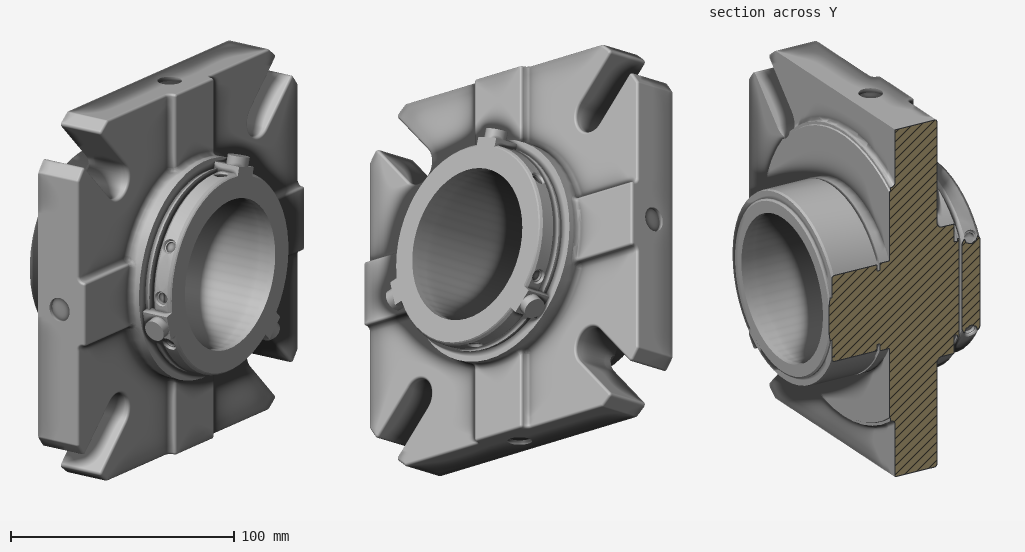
import cadquery as cq
import math


flange_side = 170.2
flange_thickness = 22.1
flange_corner_dia = 211.1
half_side = flange_side / 2
edge_round = 1.2
slot_width = 17.4
slot_center_radius = 77.1
corner_round = 1.4
side_hole_dia = 11.0
side_hole_depth = 2.0
side_hole_x = 11.7

pad_half_width = 15.0
pad_foot_round = 2.4
pad_height = pad_foot_round + edge_round
pad_top_x = flange_thickness + pad_height
pad_inner_radius = 42.5
outline_min_radius = 66.4

cap_height = 3.0
cap_face_radius = 136.5 / 2
cap_base_radius = 137.2 / 2
rim_height = 2.4
rim_radius = 69.8
rim_root_round = 1.9

bore_radius = 69.8 / 2
front_x = -34.7
nose_radius = 82.5 / 2
nose_face_radius = 80.9 / 2
nose_chamfer = 0.5
shoulder_x = -33.4
shoulder_face_radius = 89.5 / 2
shoulder_bevel_length = 1.2
front_sleeve_radius = 90.4 / 2
groove_start_x = -9.2
groove_end_x = -8.0
groove_radius = 87.5 / 2
inner_sleeve_radius = 90.7 / 2
boss_radius = 102.0 / 2
boss_end_x = 31.2
boss_root_round = 2.2
slinger_radius = 92.1 / 2
slinger_lip_radius = 93.5 / 2
slinger_lip_start_x = 32.9
slinger_end_x = 33.7
rear_sleeve_radius = 73.0 / 2

collar_start_x = 35.2
collar_end_x = 45.0
collar_radius = 92.6 / 2
collar_rim_radius = 91.3 / 2
collar_bevel_length = 0.5
collar_band_start_x = 36.8
collar_band_end_x = 43.2
collar_middle_x = (collar_band_start_x + collar_band_end_x) / 2

set_screw_angles = [-30, 0, 30, 90, 150, 210, 270]
screw_mouth_dia = 7.0
screw_hole_dia = 6.0
screw_socket_dia = 5.0
screw_mouth_depth = 0.9
screw_recess_depth = 1.4
screw_socket_depth = 2.5
slotted_screw_angle = 0
screw_slot_width = 1.0
screw_slot_depth = 3.4

clip_angles = [-15, 105, 225]
clip_start_x = 31.7
clip_width = 11.7
clip_outer_radius = 49.0
clip_inner_radius = 44.6
head_dia = 10.0
head_top_radius = 53.3


def around_axis(shape, angle):
    """Turn a shape built toward -Y by an angle measured from -Y toward +Z."""
    return shape.rotate((0, 0, 0), (1, 0, 0), -angle)


def axis_distance(edge):
    return math.hypot(edge.Center().y, edge.Center().z)


def radial_cylinder(diameter, inner, outer, x):
    """Cylinder pointing along -Y between two distances from the axis."""
    return cq.Workplane("XZ", origin=(x, -inner, 0)).circle(diameter / 2).extrude(outer - inner)


def make_pad():
    """Pad on the -Y side, with its rounded flanks drawn across the width in Z."""
    c = math.sqrt(0.5)
    foot = pad_half_width + pad_foot_round
    foot_top_x = flange_thickness + pad_foot_round
    top = pad_half_width - edge_round
    foot_mid = (foot_top_x - pad_foot_round * c, foot - pad_foot_round * c)
    top_mid = (foot_top_x + edge_round * c, top + edge_round * c)
    return (
        cq.Workplane("XY").transformed(rotate=(90, 0, 0), offset=(0, -pad_inner_radius, 0))
        .moveTo(0, foot)
        .lineTo(flange_thickness, foot)
        .threePointArc(foot_mid, (foot_top_x, pad_half_width))
        .threePointArc(top_mid, (pad_top_x, top))
        .lineTo(pad_top_x, -top)
        .threePointArc((top_mid[0], -top_mid[1]), (foot_top_x, -pad_half_width))
        .threePointArc((foot_mid[0], -foot_mid[1]), (flange_thickness, -foot))
        .lineTo(0, -foot)
        .close()
        .extrude(half_side - pad_inner_radius)
    )


def make_slot():
    """Open round-ended slot on the -Y side, long enough to cut the front rim too."""
    slot_length = flange_corner_dia / 2
    return (
        cq.Workplane("YZ", origin=(-cap_height, 0, 0))
        .center(-slot_center_radius - slot_length / 2, 0)
        .slot2D(slot_length + slot_width, slot_width)
        .extrude(cap_height + flange_thickness)
    )


def make_flange():
    flange = cq.Workplane("YZ").rect(flange_side, flange_side).extrude(flange_thickness)
    corners = cq.Workplane("YZ").circle(flange_corner_dia / 2).extrude(flange_thickness)
    flange = flange.intersect(corners)
    slot = make_slot()
    for quarter in range(4):
        flange = flange.cut(around_axis(slot, 45 + 90 * quarter))
    corner_edges = [
        edge for edge in flange.edges("|X").vals()
        if axis_distance(edge) > flange_corner_dia / 2 - 0.2
    ]
    flange = flange.newObject(corner_edges).fillet(corner_round)
    pad = make_pad()
    for quarter in range(4):
        flange = flange.union(around_axis(pad, 90 * quarter))

    outline = [
        edge for edge in flange.edges().vals()
        if edge.BoundingBox().xmin > flange_thickness - 0.2 and axis_distance(edge) > outline_min_radius
    ]
    flange = flange.newObject(outline).fillet(edge_round)

    flange = flange.union(cq.Workplane("YZ").circle(boss_radius).extrude(boss_end_x))
    root = [
        edge for edge in flange.edges().vals()
        if flange_thickness - 0.2 < edge.Center().x < boss_end_x - 0.2
        and axis_distance(edge) < boss_radius + 0.2
    ]
    flange = flange.newObject(root).fillet(boss_root_round)

    for quarter in range(4):
        hole = radial_cylinder(side_hole_dia, half_side - side_hole_depth, half_side, side_hole_x)
        flange = flange.cut(around_axis(hole, 90 * quarter))
    return flange


def make_front_rim():
    """Low rim on the flange front, blended into the flange, with a bevelled cap inside it."""
    blend = rim_root_round * (1 - math.sqrt(0.5))
    rim = (
        cq.Workplane("XY")
        .moveTo(0, 0)
        .lineTo(-cap_height, 0)
        .lineTo(-cap_height, cap_face_radius)
        .lineTo(-rim_height, cap_base_radius)
        .lineTo(-rim_height, rim_radius)
        .lineTo(-rim_root_round, rim_radius)
        .threePointArc((-blend, rim_radius + blend), (0, rim_radius + rim_root_round))
        .close()
        .revolve(360, (0, 0, 0), (1, 0, 0))
    )
    for quarter in range(4):
        rim = rim.cut(around_axis(make_slot(), 45 + 90 * quarter))
    return rim


def make_sleeve():
    """Sleeve from the front nose to the collar, with the slinger behind the boss."""
    profile = [
        (front_x, 0),
        (front_x, nose_face_radius),
        (front_x + nose_chamfer, nose_radius),
        (shoulder_x, nose_radius),
        (shoulder_x, shoulder_face_radius),
        (shoulder_x + shoulder_bevel_length, front_sleeve_radius),
        (groove_start_x, front_sleeve_radius),
        (groove_start_x, groove_radius),
        (groove_end_x, groove_radius),
        (groove_end_x, inner_sleeve_radius),
        (0, inner_sleeve_radius),
        (boss_end_x, inner_sleeve_radius),
        (boss_end_x, slinger_radius),
        (slinger_lip_start_x, slinger_radius),
        (slinger_lip_start_x, slinger_lip_radius),
        (slinger_end_x, slinger_lip_radius),
        (slinger_end_x, rear_sleeve_radius),
        (collar_end_x, rear_sleeve_radius),
        (collar_end_x, 0),
    ]
    return cq.Workplane("XY").polyline(profile).close().revolve(360, (0, 0, 0), (1, 0, 0))


def make_screw_hole():
    """Countersunk set screw hole on the -Y side of the collar, with a socket in its floor."""
    mouth_floor = collar_radius - screw_mouth_depth
    mouth = (
        cq.Workplane("XZ", origin=(collar_middle_x, -mouth_floor, 0)).circle(screw_hole_dia / 2)
        .workplane(offset=screw_mouth_depth).circle(screw_mouth_dia / 2)
        .loft(ruled=True)
    )
    recess_floor = collar_radius - screw_recess_depth
    recess = radial_cylinder(screw_hole_dia, recess_floor, mouth_floor, collar_middle_x)
    socket_floor = collar_radius - screw_socket_depth
    socket = radial_cylinder(screw_socket_dia, socket_floor, recess_floor, collar_middle_x)
    return mouth.union(recess).union(socket)


def make_collar():
    """Locking collar with a slightly raised middle band, radial set screws and clips."""
    profile = [
        (collar_start_x, 0),
        (collar_start_x, collar_rim_radius - collar_bevel_length),
        (collar_start_x + collar_bevel_length, collar_rim_radius),
        (collar_band_start_x, collar_radius),
        (collar_band_end_x, collar_radius),
        (collar_end_x - collar_bevel_length, collar_rim_radius),
        (collar_end_x, collar_rim_radius - collar_bevel_length),
        (collar_end_x, 0),
    ]
    collar = cq.Workplane("XY").polyline(profile).close().revolve(360, (0, 0, 0), (1, 0, 0))
    hole = make_screw_hole()
    for angle in set_screw_angles:
        collar = collar.cut(around_axis(hole, angle))
    driver_slot = cq.Workplane("XY").box(screw_slot_width, screw_slot_depth, screw_socket_dia)
    driver_slot = driver_slot.translate((collar_middle_x, screw_slot_depth / 2 - collar_radius, 0))
    collar = collar.cut(around_axis(driver_slot, slotted_screw_angle))

    clip = cq.Workplane("XY").box(
        collar_end_x - clip_start_x,
        clip_outer_radius - clip_inner_radius,
        clip_width,
    ).translate(((collar_end_x + clip_start_x) / 2, -(clip_outer_radius + clip_inner_radius) / 2, 0))
    head = radial_cylinder(head_dia, clip_inner_radius, head_top_radius, collar_end_x - head_dia / 2)
    for angle in clip_angles:
        collar = collar.union(around_axis(clip.union(head), angle))
    return collar


bore_length = collar_end_x - front_x
bore = cq.Workplane("YZ", origin=(front_x, 0, 0)).circle(bore_radius).extrude(bore_length)

result = make_flange().union(make_front_rim()).union(make_sleeve()).union(make_collar()).cut(bore)